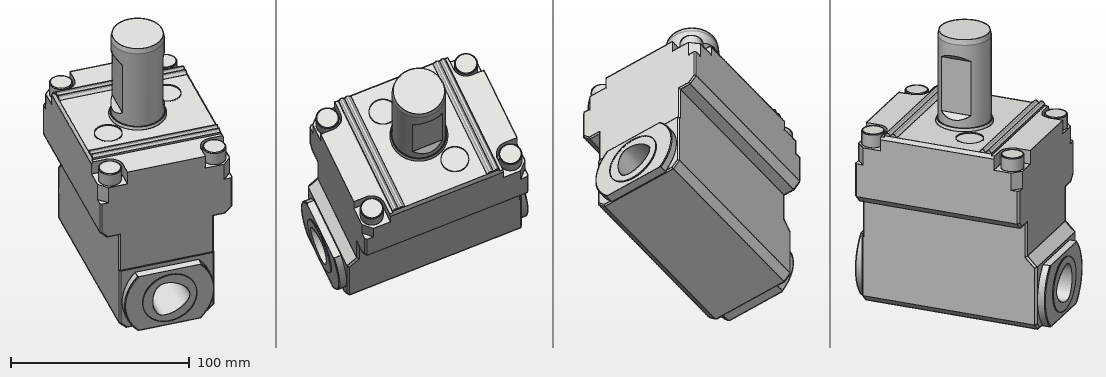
import cadquery as cq
import math

TOTAL_HEIGHT = 164.0

HEAD_HALF_X = 49.9
HEAD_HALF_Y = 39.0
HEAD_BOTTOM_Z = 65.0
NECK_HALF_Y = 28.0
LAND_Z = 107.9
PLATE_Z = 108.7
UNDERCUT_CHAMFER = 4.3
END_CHAMFER_LEFT = 1.1
END_CHAMFER_RIGHT = 0.8
TOP_BEVEL_WIDTH = 1.3
TOP_BEVEL_DROP = 2.3
TOP_HALF_Y = HEAD_HALF_Y - TOP_BEVEL_WIDTH
OVERLAP = 1.6

LEFT_FACE_X = -55.8
SLOPE_BOTTOM_Z = 39.4
SLOPE_TOP_Z = 45.1
RIGHT_FACE_X = 50.7
RIGHT_STEP_Z = 40.5

RIB_CENTER_X = 29.0
TOOTH_PITCH = 3.6
TOOTH_TIP_RADIUS = 1.0
RIB_TOP_Z = 110.5
RIB_OUTER_X = 32.6

BOLT_X = 42.3
BOLT_Y = 30.8
BOLT_DIAMETER = 13.0
BOLT_EDGE_CHAMFER = 0.5
POCKET_DIAMETER = 15.5
POCKET_FLOOR_Z = 99.7
CORNER_CUT = 5.0
CORNER_CUT_BOTTOM_Z = 89.2

RECESS_X = 12.5
RECESS_Y = 21.6
RECESS_DIAMETER = 15.5
RECESS_DEPTH = 0.7

SHAFT_DIAMETER = 30.0
SHAFT_TIP_DIAMETER = 28.7
SHAFT_TIP_LENGTH = 3.1
COLLAR_BASE_DIAMETER = 32.5
COLLAR_TOP_DIAMETER = 31.2
COLLAR_TOP_Z = 110.4
FLAT_DISTANCE = 12.0
FLAT_BOTTOM_Z = 117.8
FLAT_TOP_Z = 150.7

FLANGE_CENTER_Z = 19.0
FLANGE_DIAMETER = 53.0
FLANGE_HALF_HEIGHT = 18.7
FLANGE_THICKNESS = 4.6
FLANGE_CHAMFER = 0.5
FACE_DISC_DIAMETER = 32.0
FACE_DISC_THICKNESS = 0.7
BORE_MOUTH_RADIUS = 11.0
BORE_FLOOR_RADIUS = 10.3
LOBE_RISE = 0.8
OUTLINE_STEPS = 72
BORE_DEPTH = 32.8


def box(x_min, x_max, y_min, y_max, z_min, z_max):
    """Axis-aligned block between two corners."""
    size = (x_max - x_min, y_max - y_min, z_max - z_min)
    return cq.Workplane("XY").box(*size, centered=False).translate((x_min, y_min, z_min))


def vertical_cylinder(x, y, diameter, z_min, z_max):
    """Cylinder parallel to Z."""
    return cq.Workplane("XY", origin=(x, y, z_min)).circle(diameter / 2).extrude(z_max - z_min)


def y_prism(points, half_length):
    """Extrude an XZ outline symmetrically along Y."""
    return cq.Workplane("XZ").polyline(points).close().extrude(half_length, both=True)


def make_head():
    """Wide upper block with bevelled underside and chamfered ends."""
    head = box(-HEAD_HALF_X, HEAD_HALF_X, -HEAD_HALF_Y, HEAD_HALF_Y, HEAD_BOTTOM_Z, PLATE_Z)
    head = head.edges("|X and <Z").chamfer(UNDERCUT_CHAMFER)
    head = head.faces("<X").edges("not >Z").chamfer(END_CHAMFER_LEFT)
    return head.faces(">X").edges("not >Z").chamfer(END_CHAMFER_RIGHT)


def make_neck():
    """Narrow lower block with a sloped shoulder on the left and a small step on the right."""
    outline = [
        (LEFT_FACE_X, 0),
        (LEFT_FACE_X, SLOPE_BOTTOM_Z),
        (-HEAD_HALF_X, SLOPE_TOP_Z),
        (-HEAD_HALF_X, HEAD_BOTTOM_Z + OVERLAP),
        (HEAD_HALF_X, HEAD_BOTTOM_Z + OVERLAP),
        (HEAD_HALF_X, 0),
    ]
    neck = y_prism(outline, NECK_HALF_Y).edges("|X and <Z").chamfer(UNDERCUT_CHAMFER)
    left_end = cq.selectors.BoxSelector(
        (LEFT_FACE_X - OVERLAP, -HEAD_HALF_Y, -OVERLAP),
        (OVERLAP - HEAD_HALF_X, HEAD_HALF_Y, HEAD_BOTTOM_Z),
    )
    neck = neck.edges(left_end).edges("(not |Y) or <Z").chamfer(END_CHAMFER_LEFT)
    neck = neck.faces(">X").edges("not >Z").chamfer(END_CHAMFER_RIGHT)
    step = box(0, RIGHT_FACE_X, -NECK_HALF_Y, NECK_HALF_Y, 0, RIGHT_STEP_Z)
    step = step.edges("|X and <Z").chamfer(UNDERCUT_CHAMFER)
    step = step.faces(">X").edges("not >Z").chamfer(END_CHAMFER_RIGHT)
    return neck.union(step)


def cut_top_lands(body):
    """Lower the outer lands and bevel the two long top edges."""
    for side in (-1, 1):
        x_min, x_max = sorted((side * RIB_OUTER_X, side * HEAD_HALF_X))
        body = body.cut(box(x_min, x_max, -HEAD_HALF_Y, HEAD_HALF_Y, LAND_Z, PLATE_Z))
        bevel = [
            (side * TOP_HALF_Y, PLATE_Z),
            (side * HEAD_HALF_Y, PLATE_Z - TOP_BEVEL_DROP),
            (side * HEAD_HALF_Y, PLATE_Z),
        ]
        body = body.cut(cq.Workplane("YZ").polyline(bevel).close().extrude(HEAD_HALF_X, both=True))
    return body


def make_rib():
    """Rib on the +X side: two 45 degree teeth with rounded tips."""
    reach = TOOTH_TIP_RADIUS * math.sqrt(0.5)
    tangent_z = RIB_TOP_Z - TOOTH_TIP_RADIUS + reach
    inner_tip_x = RIB_CENTER_X - TOOTH_PITCH / 2
    outer_tip_x = RIB_CENTER_X + TOOTH_PITCH / 2
    valley_z = tangent_z - (TOOTH_PITCH / 2 - reach)
    outer_z = tangent_z - (RIB_OUTER_X - outer_tip_x - reach)
    foot_x = inner_tip_x - reach - (tangent_z - PLATE_Z)
    return (
        cq.Workplane("XZ")
        .moveTo(foot_x, LAND_Z)
        .lineTo(foot_x, PLATE_Z)
        .lineTo(inner_tip_x - reach, tangent_z)
        .threePointArc((inner_tip_x, RIB_TOP_Z), (inner_tip_x + reach, tangent_z))
        .lineTo(RIB_CENTER_X, valley_z)
        .lineTo(outer_tip_x - reach, tangent_z)
        .threePointArc((outer_tip_x, RIB_TOP_Z), (outer_tip_x + reach, tangent_z))
        .lineTo(RIB_OUTER_X, outer_z)
        .lineTo(RIB_OUTER_X, LAND_Z)
        .close()
        .extrude(TOP_HALF_Y, both=True)
    )


def make_corner_cut():
    """Bolt pocket and diagonal corner cut for the +X +Y corner."""
    radius = POCKET_DIAMETER / 2
    pocket = box(BOLT_X - radius, HEAD_HALF_X, BOLT_Y - radius, HEAD_HALF_Y, POCKET_FLOOR_Z, PLATE_Z)
    pocket = pocket.edges("|Z and <X and <Y").fillet(radius)
    diagonal = (
        cq.Workplane("XY", origin=(HEAD_HALF_X, HEAD_HALF_Y, CORNER_CUT_BOTTOM_Z))
        .polyline([(-CORNER_CUT, 0), (0, 0), (0, -CORNER_CUT)])
        .close()
        .extrude(PLATE_Z - CORNER_CUT_BOTTOM_Z)
    )
    return pocket.union(diagonal)


def make_bolt():
    """Bolt head standing in the +X +Y pocket."""
    bolt = vertical_cylinder(BOLT_X, BOLT_Y, BOLT_DIAMETER, POCKET_FLOOR_Z - OVERLAP, LAND_Z)
    return bolt.faces(">Z").chamfer(BOLT_EDGE_CHAMFER)


def add_corners(body):
    """Cut the four corners and place a bolt in each."""
    for planes in ((), ("YZ",), ("XZ",), ("YZ", "XZ")):
        cut = make_corner_cut()
        bolt = make_bolt()
        for plane in planes:
            cut = cut.mirror(plane)
            bolt = bolt.mirror(plane)
        body = body.cut(cut).union(bolt)
    return body


def make_shaft():
    """Shaft with tapered tip, conical collar and two opposed wrench flats."""
    radius = SHAFT_DIAMETER / 2
    shaft = vertical_cylinder(0, 0, SHAFT_DIAMETER, LAND_Z, TOTAL_HEIGHT)
    tip_inset = (SHAFT_DIAMETER - SHAFT_TIP_DIAMETER) / 2
    shaft = shaft.faces(">Z").chamfer(SHAFT_TIP_LENGTH, tip_inset)
    flat_depth = radius - FLAT_DISTANCE
    notch = (
        cq.Workplane("YZ")
        .polyline([
            (FLAT_DISTANCE, FLAT_BOTTOM_Z),
            (FLAT_DISTANCE, FLAT_TOP_Z),
            (radius, FLAT_TOP_Z + flat_depth),
            (radius, FLAT_BOTTOM_Z - flat_depth),
        ])
        .close()
        .extrude(radius, both=True)
    )
    shaft = shaft.cut(notch).cut(notch.mirror("XZ"))
    collar = cq.Solid.makeCone(
        COLLAR_BASE_DIAMETER / 2,
        COLLAR_TOP_DIAMETER / 2,
        COLLAR_TOP_Z - PLATE_Z,
        pnt=cq.Vector(0, 0, PLATE_Z),
    )
    return shaft.union(cq.Workplane(collar))


def trilobe(plane, mean_radius):
    """Smooth constant-width outline on `plane` with three lobes, one of them toward +Y."""

    def point(t):
        """Point whose tangent line lies mean_radius + LOBE_RISE * cos(3 * angle) from the center."""
        angle = 2 * math.pi * t
        distance = mean_radius + LOBE_RISE * math.cos(3 * angle)
        slope = -3 * LOBE_RISE * math.sin(3 * angle)
        return (
            distance * math.cos(angle) - slope * math.sin(angle),
            distance * math.sin(angle) + slope * math.cos(angle),
        )

    return plane.parametricCurve(point, N=OUTLINE_STEPS)


def add_flange(body, seat_x, side):
    """Add a flange with a raised disc and a tapered blind trilobe bore on the end facing `side`."""
    outer_x = seat_x + side * FLANGE_THICKNESS
    face_x = outer_x + side * FACE_DISC_THICKNESS
    root_x = seat_x - side * OVERLAP

    def end_plane(x):
        return cq.Workplane("YZ", origin=(x, 0, FLANGE_CENTER_Z))

    flange = end_plane(root_x).circle(FLANGE_DIAMETER / 2).extrude(outer_x - root_x)
    flange = flange.faces(">X" if side > 0 else "<X").chamfer(FLANGE_CHAMFER)
    x_min, x_max = sorted((root_x, outer_x))
    flange = flange.intersect(
        box(
            x_min, x_max,
            -FLANGE_DIAMETER, FLANGE_DIAMETER,
            FLANGE_CENTER_Z - FLANGE_HALF_HEIGHT, FLANGE_CENTER_Z + FLANGE_HALF_HEIGHT,
        )
    )
    disc = end_plane(root_x).circle(FACE_DISC_DIAMETER / 2).extrude(face_x - root_x)
    mouth = trilobe(end_plane(face_x), BORE_MOUTH_RADIUS).val()
    floor = trilobe(end_plane(face_x - side * BORE_DEPTH), BORE_FLOOR_RADIUS).val()
    bore = cq.Workplane(cq.Solid.makeLoft([mouth, floor], True))
    return body.union(flange).union(disc).cut(bore)


body = cut_top_lands(make_head().union(make_neck()))
body = body.union(make_rib()).union(make_rib().mirror("YZ"))
body = add_corners(body)
body = body.union(make_shaft())
for side in (-1, 1):
    recess = vertical_cylinder(
        side * RECESS_X, -side * RECESS_Y, RECESS_DIAMETER, PLATE_Z - RECESS_DEPTH, PLATE_Z
    )
    body = body.cut(recess)
body = add_flange(body, LEFT_FACE_X, -1)
body = add_flange(body, RIGHT_FACE_X, 1)

result = body